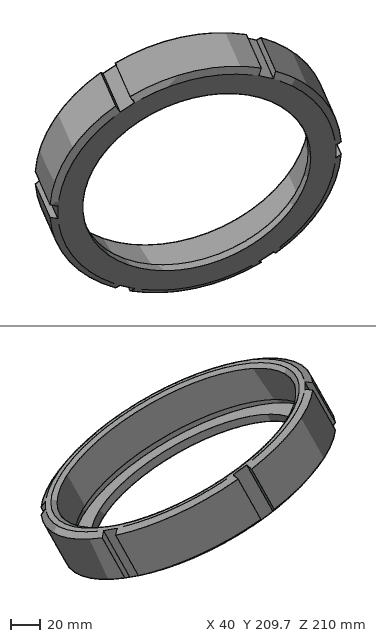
import cadquery as cq
import math

width = 40.0
outer_diameter = 210.0
face_diameter = 200.1
edge_chamfer_width = 2.7

hole_diameter = 164.0
recess_diameter = 184.4
recess_mouth_diameter = 191.7
recess_depth = 33.8
mouth_chamfer_angle = 30.0
mouth_chamfer_rise = (recess_mouth_diameter - recess_diameter) / 2
mouth_chamfer_width = mouth_chamfer_rise * math.tan(math.radians(mouth_chamfer_angle))

groove_diameter = 190.5
groove_width = 5.0

slot_count = 6
slot_width = 12.0
slot_floor_radius = face_diameter / 2
slot_cut_height = outer_diameter - slot_floor_radius


def make_ring():
    """Revolve the half section, drawn as (x, radius), around the X axis."""
    left = -width / 2
    right = width / 2
    section = [
        (left, recess_mouth_diameter / 2),
        (left, face_diameter / 2),
        (left + edge_chamfer_width, outer_diameter / 2),
        (right - edge_chamfer_width, outer_diameter / 2),
        (right, face_diameter / 2),
        (right, hole_diameter / 2),
        (left + recess_depth, hole_diameter / 2),
        (left + recess_depth, groove_diameter / 2),
        (left + recess_depth - groove_width, groove_diameter / 2),
        (left + recess_depth - groove_width, recess_diameter / 2),
        (left + mouth_chamfer_width, recess_diameter / 2),
    ]
    return cq.Workplane("XY").polyline(section).close().revolve(360, (0, 0, 0), (1, 0, 0))


def make_slot_cutter(angle):
    """Box with a flat floor, turned about the X axis from the +Y direction."""
    return (
        cq.Workplane("XY")
        .box(width, slot_cut_height, slot_width)
        .translate((0, slot_floor_radius + slot_cut_height / 2, 0))
        .rotate((0, 0, 0), (1, 0, 0), angle)
    )


result = make_ring()
for index in range(slot_count):
    result = result.cut(make_slot_cutter(index * 360 / slot_count))